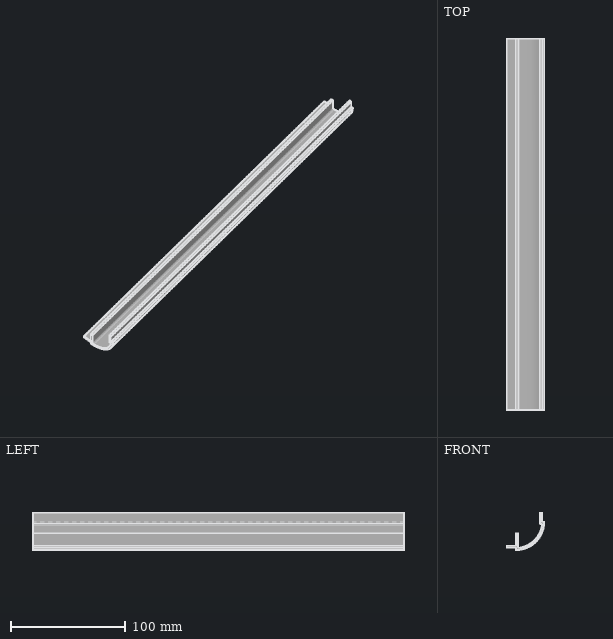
import cadquery as cq
import math

section_size = 33.0
length = 325.4
wall = 2.0
leg_reach = 8.0
upright_top = 15.0
root_radius = 1.0
tab_corner_radius = 0.5

outer_radius = section_size - leg_reach
inner_radius = outer_radius - wall
center_x = leg_reach
center_z = outer_radius

upright_left = leg_reach
upright_right = upright_left + wall

flange_bottom = wall
flange_top = flange_bottom + wall

tab_right = section_size - wall
tab_left = tab_right - wall
tab_bottom = center_z - wall

inner_end_drop = math.sqrt(inner_radius**2 - wall**2)
inner_upper_end = (center_x + inner_end_drop, tab_bottom)
inner_lower_end = (upright_right, center_z - inner_end_drop)


def arc_middle(radius):
    """Point halfway along a quarter arc of the curved wall."""
    offset = radius * math.sqrt(0.5)
    return (center_x + offset, center_z - offset)


def make_profile_body():
    """Sharp-cornered cross-section extruded along Y, centred on Y = 0."""
    return (
        cq.Workplane("XZ")
        .moveTo(center_x, 0)
        .threePointArc(arc_middle(outer_radius), (section_size, center_z))
        .lineTo(tab_right, center_z)
        .lineTo(tab_right, section_size)
        .lineTo(tab_left, section_size)
        .lineTo(tab_left, tab_bottom)
        .lineTo(*inner_upper_end)
        .threePointArc(arc_middle(inner_radius), inner_lower_end)
        .lineTo(upright_right, upright_top)
        .lineTo(upright_left, upright_top)
        .lineTo(upright_left, flange_top)
        .lineTo(0, flange_top)
        .lineTo(0, flange_bottom)
        .lineTo(upright_left, flange_bottom)
        .close()
        .extrude(length / 2, both=True)
    )


def round_long_edge(body, corner, radius):
    """Fillet the lengthwise edge that passes through an (x, z) corner of the section."""
    x, z = corner
    edge = cq.selectors.NearestToPointSelector((x, 0, z))
    return body.edges("|Y").edges(edge).fillet(radius)


result = make_profile_body()
result = round_long_edge(result, inner_lower_end, root_radius)
result = round_long_edge(result, inner_upper_end, root_radius)
result = round_long_edge(result, (tab_left, tab_bottom), tab_corner_radius)